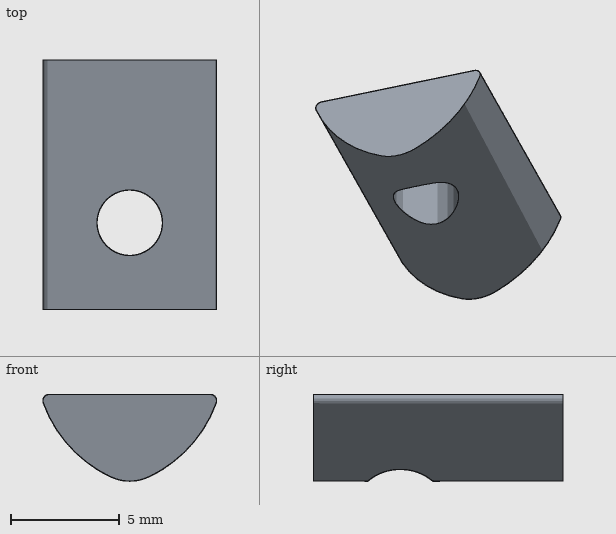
import cadquery as cq
import math

length = 11.5
width = 8.0
height = 4.0
corner_radius = 0.3
flank_radius = 6.0
nose_radius = 2.0
hole_diameter = 3.0
hole_from_front = 4.0


def flank_center(corner, nose):
    """Center of the right flank circle, which encloses and touches the corner and nose circles."""
    to_corner = flank_radius - corner_radius
    to_nose = flank_radius - nose_radius
    dx = nose[0] - corner[0]
    dz = nose[1] - corner[1]
    spacing = math.hypot(dx, dz)
    along = (spacing**2 + to_corner**2 - to_nose**2) / (2 * spacing)
    across = math.sqrt(to_corner**2 - along**2)
    return (
        corner[0] + (along * dx + across * dz) / spacing,
        corner[1] + (along * dz - across * dx) / spacing,
    )


def point_on_circle(center, radius, angle):
    return (center[0] + radius * math.cos(angle), center[1] + radius * math.sin(angle))


def mirrored(point):
    return (-point[0], point[1])


def make_body():
    """Extrude the symmetric section: flat top, round corners, tangent flanks and nose."""
    corner = (width / 2 - corner_radius, -corner_radius)
    nose = (0, nose_radius - height)
    flank = flank_center(corner, nose)

    upper_angle = math.atan2(corner[1] - flank[1], corner[0] - flank[0])
    lower_angle = math.atan2(nose[1] - flank[1], nose[0] - flank[0])

    top_end = (corner[0], 0)
    corner_mid = point_on_circle(corner, corner_radius, (math.pi / 2 + upper_angle) / 2)
    flank_top = point_on_circle(flank, flank_radius, upper_angle)
    flank_mid = point_on_circle(flank, flank_radius, (upper_angle + lower_angle) / 2)
    flank_bottom = point_on_circle(flank, flank_radius, lower_angle)

    section = (
        cq.Workplane("XZ", origin=(0, length / 2, 0))
        .moveTo(*mirrored(top_end))
        .lineTo(*top_end)
        .threePointArc(corner_mid, flank_top)
        .threePointArc(flank_mid, flank_bottom)
        .threePointArc((0, -height), mirrored(flank_bottom))
        .threePointArc(mirrored(flank_mid), mirrored(flank_top))
        .threePointArc(mirrored(corner_mid), mirrored(top_end))
        .close()
    )
    return section.extrude(length)


def make_hole():
    """Vertical through hole on the center plane, nearer the -Y end."""
    return (
        cq.Workplane("XY", origin=(0, hole_from_front - length / 2, -height))
        .circle(hole_diameter / 2)
        .extrude(height)
    )


result = make_body().cut(make_hole())